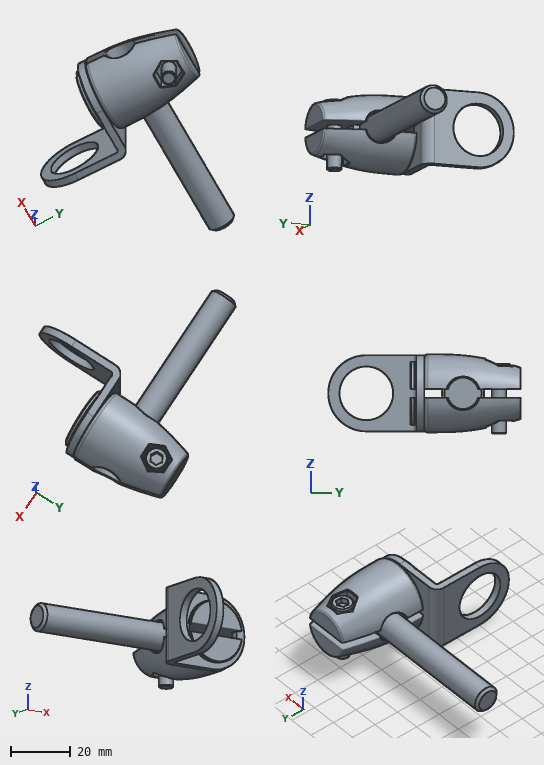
import cadquery as cq
import math

body_radius = 13.3
body_length = 32.7
barrel_mid_y = 15.0
barrel_mid_radius = 12.7
barrel_end_radius = 8.75
barrel_end_lean = 0.29
base_fillet = 1.2
end_fillet = 0.75
slot_width = 2.9
edge_break = 0.2
head_edge_break = 0.3

neck_radius = 9.8
neck_gap = 0.45
head_radius = 10.8
head_thickness = 1.5

plate_thickness = 2.8
plate_half_width = 12.95
leg_outer_x = -19.1
leg_end_y = -32.6
leg_hole_radius = 9.05
bend_inner_radius = 0.8

rod_y = 13.1
rod_radius = 4.9
rod_chamfer = 1.05
overall_length = 74.85
rod_bore_radius = 5.3
rod_bore_mouth = 0.45
collar_radius = 7.2
collar_start_x = -4.65
collar_end_x = 4.95
collar_chamfer = 0.9

screw_y = 25.3
screw_radius = 2.51
screw_bottom_z = -13.8
screw_tip_chamfer = 0.45
screw_head_radius = 4.005
screw_head_top_z = 10.0
screw_head_chamfer = 0.5
socket_flats = 4.05
socket_depth = 2.25
pocket_flats = 8.7
pocket_floor_z = 5.25
pocket_mouth = 0.3

bend_outer_radius = bend_inner_radius + plate_thickness
leg_inner_x = leg_outer_x + plate_thickness
leg_hole_y = leg_end_y + plate_half_width
head_back_y = -plate_thickness - neck_gap
head_front_y = head_back_y - head_thickness
jaw_edge_x = math.sqrt(body_radius**2 - (slot_width / 2 + edge_break) ** 2)
rod_tip_x = jaw_edge_x - overall_length


def cylinder_x(radius, x_start, x_end):
    """Cylinder on the rod axis."""
    return cq.Workplane("YZ", origin=(x_start, rod_y, 0)).circle(radius).extrude(x_end - x_start)


def cylinder_y(radius, y_start, y_end):
    """Cylinder on the body axis."""
    return cq.Workplane("XZ", origin=(0, y_start, 0)).circle(radius).extrude(y_start - y_end)


def cylinder_z(radius, z_start, z_end):
    """Cylinder on the screw axis."""
    return cq.Workplane("XY", origin=(0, screw_y, z_start)).circle(radius).extrude(z_end - z_start)


def hexagon_z(across_flats, z_start, z_end, turn=0.0):
    """Hexagonal prism on the screw axis; corners point along X unless turned."""
    corner_diameter = across_flats / math.cos(math.pi / 6)
    return (
        cq.Workplane("XY", origin=(0, screw_y, z_start))
        .transformed(rotate=(0, 0, turn))
        .polygon(6, corner_diameter)
        .extrude(z_end - z_start)
    )


def make_barrel():
    """Turned barrel that runs straight up from the base and curves smoothly in to the far end."""
    profile = (
        cq.Workplane("XY")
        .lineTo(body_radius, 0)
        .spline(
            [(barrel_mid_radius, barrel_mid_y), (barrel_end_radius, body_length)],
            tangents=[(0, 1), (-barrel_end_lean, 1)],
            includeCurrent=True,
        )
        .lineTo(0, body_length)
        .close()
    )
    barrel = profile.revolve(360, (0, 0, 0), (0, 1, 0))
    barrel = barrel.faces("<Y").edges().fillet(base_fillet)
    return barrel.faces(">Y").edges().fillet(end_fillet)


def make_head():
    """Neck and flat disc that hold the bracket against the barrel."""
    neck = cylinder_y(neck_radius, 0, head_back_y)
    disc = cylinder_y(head_radius, head_back_y, head_front_y)
    disc = disc.faces("<Y").edges().chamfer(head_edge_break)
    disc = disc.faces(">Y").edges().chamfer(edge_break)
    return neck.union(disc)


def chamfer_mouth(barrel, corner, opposite_corner, size):
    """Chamfer the curved edges, where a cut meets the barrel side, that lie inside a box."""
    edges = barrel.edges(cq.selectors.BoxSelector(corner, opposite_corner))
    mouth = edges.filter(lambda edge: edge.geomType() != "LINE")
    return mouth.chamfer(size)


def make_bored_barrel():
    """Barrel with the rod bore and two hexagonal screw pockets, their mouths chamfered."""
    barrel = make_barrel().cut(cylinder_x(rod_bore_radius, -body_radius, body_radius))
    barrel = chamfer_mouth(
        barrel,
        (-body_radius, rod_y - rod_bore_radius, -rod_bore_radius),
        (body_radius, rod_y + rod_bore_radius, rod_bore_radius),
        rod_bore_mouth,
    )
    pocket_reach = pocket_flats / math.sqrt(3)
    for side in (1, -1):
        floor_z = side * pocket_floor_z
        outer_z = side * body_radius
        barrel = barrel.cut(hexagon_z(pocket_flats, floor_z, outer_z))
        barrel = chamfer_mouth(
            barrel,
            (-pocket_reach, screw_y - pocket_reach, floor_z),
            (pocket_reach, screw_y + pocket_reach, outer_z),
            pocket_mouth,
        )
    return barrel


def make_clamp_body():
    """Barrel and head, split into two jaws by a slot with broken edges."""
    clamp = make_bored_barrel().union(make_head())
    slot = (
        cq.Workplane("XY", origin=(0, head_front_y, 0))
        .box(2 * body_radius, body_length - head_front_y, slot_width, centered=(True, False, True))
    )
    clamp = clamp.cut(slot)
    slot_walls = clamp.faces("|Z").filter(lambda face: abs(face.Center().z) < slot_width)
    return slot_walls.edges().fillet(edge_break)


def make_bracket():
    """L-shaped strip with one bend, a round end on each leg and a hole in the free leg."""
    strip = (
        cq.Workplane("XY")
        .moveTo(0, 0)
        .lineTo(leg_outer_x + bend_outer_radius, 0)
        .radiusArc((leg_outer_x, -bend_outer_radius), -bend_outer_radius)
        .lineTo(leg_outer_x, leg_hole_y)
        .lineTo(leg_inner_x, leg_hole_y)
        .lineTo(leg_inner_x, -bend_outer_radius)
        .radiusArc((leg_outer_x + bend_outer_radius, -plate_thickness), bend_inner_radius)
        .lineTo(0, -plate_thickness)
        .close()
        .extrude(plate_half_width, both=True)
    )
    plate_end = cylinder_y(plate_half_width, 0, -plate_thickness)
    leg = cq.Workplane("YZ", origin=(leg_outer_x, leg_hole_y, 0))
    leg_end = leg.circle(plate_half_width).extrude(plate_thickness)
    leg_hole = leg.circle(leg_hole_radius).extrude(plate_thickness)
    plate_hole = cylinder_y(neck_radius, 0, -plate_thickness)
    return strip.union(plate_end).union(leg_end).cut(leg_hole).cut(plate_hole)


def make_rod():
    """Rod with a chamfered tip and a wider collar held inside the barrel."""
    rod = cylinder_x(rod_radius, rod_tip_x, collar_end_x).faces("<X").chamfer(rod_chamfer)
    collar = cylinder_x(collar_radius, collar_start_x, collar_end_x).faces(">X").chamfer(collar_chamfer)
    return rod.union(collar)


def make_screw():
    """Socket-head clamping screw that crosses the slot and sticks out below the barrel."""
    shank = cylinder_z(screw_radius, screw_bottom_z, pocket_floor_z).faces("<Z").chamfer(screw_tip_chamfer)
    head = cylinder_z(screw_head_radius, pocket_floor_z, screw_head_top_z)
    head = head.faces(">Z").chamfer(screw_head_chamfer)
    socket = hexagon_z(socket_flats, screw_head_top_z - socket_depth, screw_head_top_z, turn=90)
    return shank.union(head).cut(socket)


result = make_clamp_body().union(make_bracket()).union(make_rod()).union(make_screw())